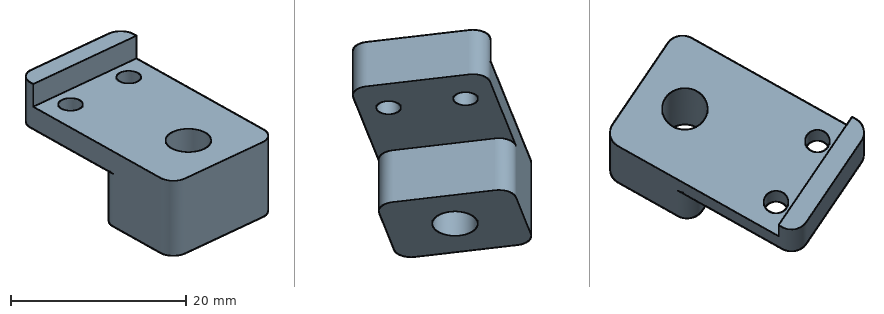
import cadquery as cq

length = 26.0
width = 16.0
height = 13.0
corner_radius = 2.0

block_drop = 7.0
plate_thickness = 3.0
plate_top = block_drop + plate_thickness

lip_length = 2.5
block_length = 12.0

large_hole_diameter = 5.2
large_hole_x = 20.0
small_hole_diameter = 2.8
small_hole_x = 5.0
small_hole_spacing = 9.0


def rounded_slab(x_start, x_end, z_start, z_end):
    """Full-width slab with its four vertical edges rounded."""
    slab = cq.Workplane("XY").box(x_end - x_start, width, z_end - z_start, centered=(False, True, False))
    return slab.edges("|Z").fillet(corner_radius).translate((x_start, 0, z_start))


def through_hole(x, y, diameter):
    """Vertical cutter spanning the whole height of the part."""
    return cq.Workplane("XY").center(x, y).circle(diameter / 2).extrude(height)


plate = rounded_slab(0, length, block_drop, height)
lip_clearance = (
    cq.Workplane("XY")
    .box(length - lip_length, width, height - plate_top, centered=(False, True, False))
    .translate((lip_length, 0, plate_top))
)
plate = plate.cut(lip_clearance)

block = rounded_slab(length - block_length, length, 0, plate_top)
result = plate.union(block)

result = result.cut(through_hole(large_hole_x, 0, large_hole_diameter))
for side in (-1, 1):
    result = result.cut(through_hole(small_hole_x, side * small_hole_spacing / 2, small_hole_diameter))